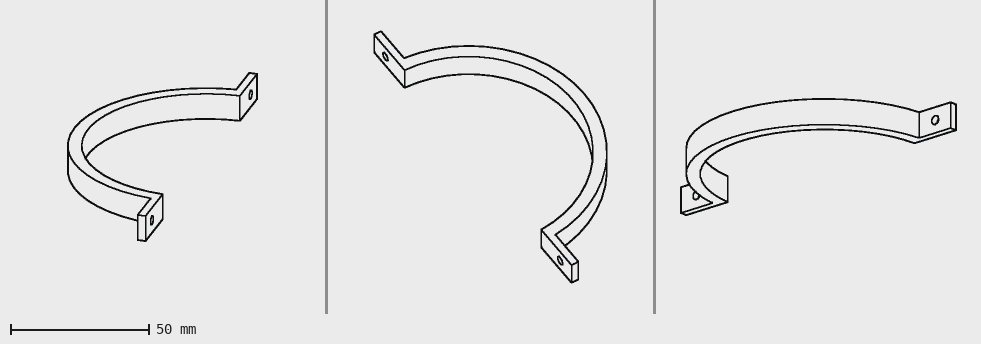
import cadquery as cq

span = 130.0
depth = 48.2
height = 10.0
outer_radius = 50.0
inner_radius = 45.0
ear_thickness = 3.0
hole_diameter = 3.2
hole_spacing = 115.0

crown_x = -outer_radius
mating_face_x = crown_x + depth
ear_back_x = mating_face_x - ear_thickness


def block(x_min, x_max, width):
    """Full-height block between two X positions, centred on Y."""
    return cq.Workplane("XY").box(x_max - x_min, width, height, centered=(False, True, False)).translate(
        (x_min, 0, 0)
    )


def cylinder(radius):
    """Full-height cylinder on the arc axis."""
    return cq.Workplane("XY").circle(radius).extrude(height)


half_disc = cylinder(outer_radius).intersect(block(crown_x, mating_face_x, span))
ear_plate = block(ear_back_x, mating_face_x, span)
clamp = half_disc.union(ear_plate).cut(cylinder(inner_radius))

bolt_holes = (
    cq.Workplane("YZ", origin=(ear_back_x, 0, height / 2))
    .pushPoints([(-hole_spacing / 2, 0), (hole_spacing / 2, 0)])
    .circle(hole_diameter / 2)
    .extrude(ear_thickness)
)

result = clamp.cut(bolt_holes)